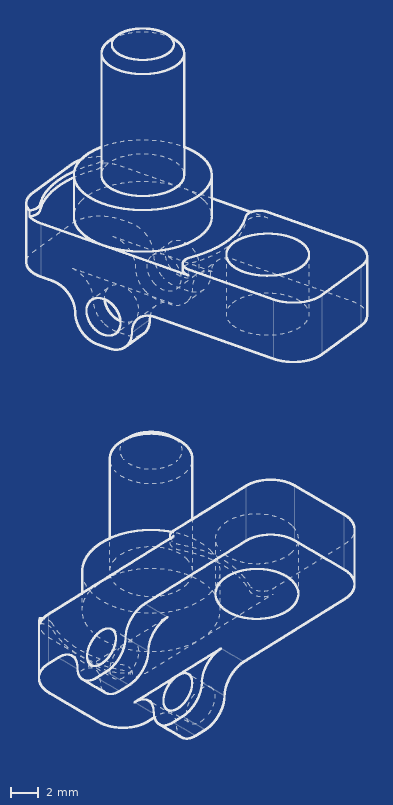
import cadquery as cq
import math


body_length = 25.5
body_width = 10.0
body_height = 5.0
corner_radius = 2.5
pin_to_left_end = 8.0

hole_diameter = 6.0
hole_x = 11.0

recess_radius = 7.5
recess_depth = 0.5
recess_lip_radius = 1.0

collar_diameter = body_width
collar_top = 8.0
pin_diameter = 6.0
pin_top = 19.0
pin_chamfer = 0.75

lug_width = 5.0
lug_drop = 4.0
lug_gap = 5.4
lug_radius = 2.0
lug_hole_diameter = 3.0
lug_root_height = 2.0

half_width = body_width / 2
recess_floor = body_height - recess_depth
lug_thickness = (body_width - lug_gap) / 2
lug_hole_z = -lug_hole_diameter / 2


def make_body():
    return (
        cq.Workplane("XY")
        .box(body_length, body_width, body_height, centered=(False, True, False))
        .translate((-pin_to_left_end, 0, 0))
        .edges("|Z")
        .fillet(corner_radius)
    )


def make_recess():
    """Recess cutter: two facing arcs whose ends roll over rounded lips to the body sides."""
    lip_y = half_width - recess_lip_radius
    lip_x = math.sqrt((recess_radius + recess_lip_radius) ** 2 - lip_y**2)
    touch_scale = recess_radius / (recess_radius + recess_lip_radius)
    touch_x = lip_x * touch_scale
    touch_y = lip_y * touch_scale
    nose_x = lip_x - recess_lip_radius
    return (
        cq.Workplane("XY", origin=(0, 0, recess_floor))
        .moveTo(-lip_x, half_width)
        .lineTo(lip_x, half_width)
        .threePointArc((nose_x, lip_y), (touch_x, touch_y))
        .threePointArc((recess_radius, 0), (touch_x, -touch_y))
        .threePointArc((nose_x, -lip_y), (lip_x, -half_width))
        .lineTo(-lip_x, -half_width)
        .threePointArc((-nose_x, -lip_y), (-touch_x, -touch_y))
        .threePointArc((-recess_radius, 0), (-touch_x, touch_y))
        .threePointArc((-nose_x, lip_y), (-lip_x, half_width))
        .close()
        .extrude(recess_depth)
    )


def make_collar_and_pin():
    collar = (
        cq.Workplane("XY", origin=(0, 0, recess_floor))
        .circle(collar_diameter / 2)
        .extrude(collar_top - recess_floor)
    )
    pin = (
        cq.Workplane("XY", origin=(0, 0, collar_top))
        .circle(pin_diameter / 2)
        .extrude(pin_top - collar_top)
        .faces(">Z")
        .chamfer(pin_chamfer)
    )
    return collar.union(pin)


def make_lug(front_y):
    """One lug, extending from front_y towards +Y, flared where it meets the body."""
    side = lug_width / 2
    flare = side + lug_radius
    flat = side - lug_radius
    flare_end_z = -lug_radius
    lower_arc_z = -lug_drop + lug_radius
    diagonal = lug_radius * math.sqrt(0.5)
    flare_mid = (flare - diagonal, flare_end_z + diagonal)
    lower_mid = (flat + diagonal, lower_arc_z - diagonal)
    return (
        cq.Workplane("XZ", origin=(0, front_y, 0))
        .moveTo(-flare, 0)
        .lineTo(-flare, lug_root_height)
        .lineTo(flare, lug_root_height)
        .lineTo(flare, 0)
        .threePointArc(flare_mid, (side, flare_end_z))
        .threePointArc(lower_mid, (flat, -lug_drop))
        .lineTo(-flat, -lug_drop)
        .threePointArc((-lower_mid[0], lower_mid[1]), (-side, lower_arc_z))
        .threePointArc((-flare_mid[0], flare_mid[1]), (-flare, 0))
        .close()
        .moveTo(0, lug_hole_z)
        .circle(lug_hole_diameter / 2)
        .extrude(-lug_thickness)
    )


def make_through_hole():
    return (
        cq.Workplane("XY")
        .center(hole_x, 0)
        .circle(hole_diameter / 2)
        .extrude(body_height)
    )


result = make_body().cut(make_recess()).cut(make_through_hole())
result = result.union(make_collar_and_pin())
for lug_front_y in (-half_width, lug_gap / 2):
    result = result.union(make_lug(lug_front_y))